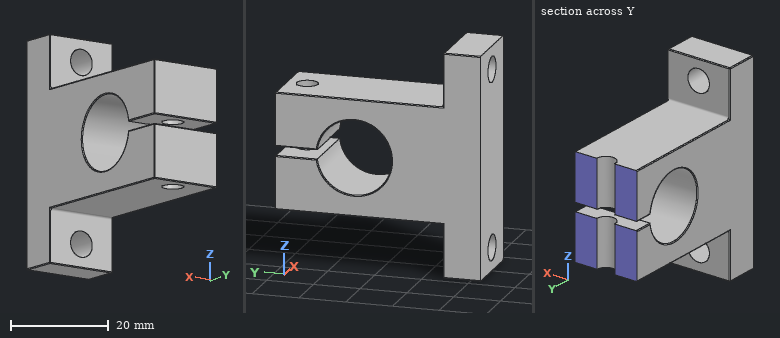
import cadquery as cq

WIDTH = 16.0
DEPTH = 44.0
HEIGHT = 48.0

FLANGE_THICKNESS = 8.0
MOUNT_HOLE_DIAMETER = 5.5
MOUNT_HOLE_SPACING = 38.0

STEM_HEIGHT = 25.0
BORE_DIAMETER = 16.0
BORE_CENTER_Y = 27.0
SLOT_HEIGHT = 2.0
CLAMP_HOLE_DIAMETER = 4.5
CLAMP_HOLE_END_DISTANCE = 4.5

EDGE_CHAMFER = 0.2
INNER_RADIUS = 0.5


def make_body():
    """T-shaped profile, extruded across the full width."""
    flange = cq.Workplane("XY").box(WIDTH, FLANGE_THICKNESS, HEIGHT, centered=(True, False, True))
    stem = cq.Workplane("XY").box(WIDTH, DEPTH, STEM_HEIGHT, centered=(True, False, True))
    return flange.union(stem)


def cut_bore_and_slot(body):
    """Shaft bore along X, with a slot from the bore to the free end of the stem."""
    bore = (
        cq.Workplane("YZ", origin=(-WIDTH / 2, BORE_CENTER_Y, 0))
        .circle(BORE_DIAMETER / 2)
        .extrude(WIDTH)
    )
    slot = cq.Workplane("XY", origin=(0, BORE_CENTER_Y, 0)).box(
        WIDTH, DEPTH - BORE_CENTER_Y, SLOT_HEIGHT, centered=(True, False, True)
    )
    return body.cut(bore).cut(slot)


def around_inner_corners():
    """Selector for edges where the stem meets the flange."""
    return cq.selectors.BoxSelector(
        (-WIDTH, FLANGE_THICKNESS - EDGE_CHAMFER, -STEM_HEIGHT / 2 - EDGE_CHAMFER),
        (WIDTH, FLANGE_THICKNESS + EDGE_CHAMFER, STEM_HEIGHT / 2 + EDGE_CHAMFER),
    )


def chamfer_edges(body):
    """Break every outer edge except those of the mounting face and where the slot meets the bore."""
    around_slot_mouth = cq.selectors.BoxSelector(
        (-WIDTH, BORE_CENTER_Y - BORE_DIAMETER, -SLOT_HEIGHT),
        (WIDTH, BORE_CENTER_Y + BORE_DIAMETER / 2, SLOT_HEIGHT),
    )
    cross_edges = body.edges("|X")
    kept_edges = (
        body.faces("<Y").edges().vals()
        + cross_edges.edges(around_slot_mouth).vals()
        + cross_edges.edges(around_inner_corners()).vals()
    )
    broken_edges = [
        edge for edge in body.edges().vals() if not any(edge.isSame(kept) for kept in kept_edges)
    ]
    return body.newObject(broken_edges).chamfer(EDGE_CHAMFER)


def fillet_inner_corners(body):
    """Round the two corners between stem and flange."""
    return body.edges("|X").edges(around_inner_corners()).fillet(INNER_RADIUS)


def cut_mount_holes(body):
    """Two holes through the flange along Y."""
    holes = (
        cq.Workplane("XZ")
        .rarray(1, MOUNT_HOLE_SPACING, 1, 2)
        .circle(MOUNT_HOLE_DIAMETER / 2)
        .extrude(-FLANGE_THICKNESS)
    )
    return body.cut(holes)


def cut_clamp_hole(body):
    """Clamp screw hole through both jaws along Z."""
    hole = (
        cq.Workplane("XY", origin=(0, DEPTH - CLAMP_HOLE_END_DISTANCE, -STEM_HEIGHT / 2))
        .circle(CLAMP_HOLE_DIAMETER / 2)
        .extrude(STEM_HEIGHT)
    )
    return body.cut(hole)


body = cut_bore_and_slot(make_body())
body = chamfer_edges(body)
body = fillet_inner_corners(body)
body = cut_mount_holes(body)
result = cut_clamp_hole(body)